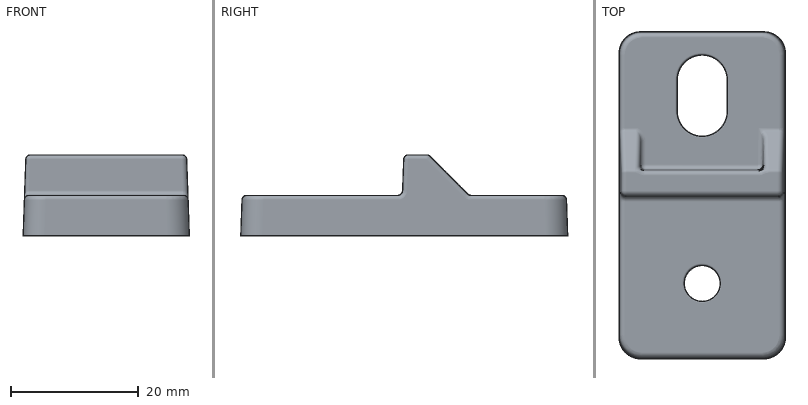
import cadquery as cq
import math

WIDTH = 26.07
LENGTH = 51.24
HEIGHT = 12.7
PLATE_THICKNESS = HEIGHT / 2
DRAFT_ANGLE = 2.0
CORNER_RADIUS = 3.4
EDGE_RADIUS = 0.76

RIB_FRONT_Y = -0.08
RIB_BACK_Y = 3.82
GUSSET_INNER_X = 9.57
RIGHT_GUSSET_SKEW = 1.0

HOLE_DIAMETER = 5.59
HOLE_Y = -13.8
COUNTERSINK_DIAMETER = 12.7
COUNTERSINK_DEPTH = 3.3
SLOT_WIDTH = 7.82
SLOT_CENTRE_DISTANCE = 4.87
SLOT_Y = 15.6
HOLE_EDGE_RADIUS = 0.3

RIB_HEIGHT = HEIGHT - PLATE_THICKNESS
RIB_LEAN = RIB_HEIGHT * math.tan(math.radians(DRAFT_ANGLE))
GUSSET_RUN = RIB_HEIGHT
GUSSET_TOE_Y = RIB_BACK_Y + GUSSET_RUN
SKEW_OFFSET = GUSSET_RUN * math.tan(math.radians(RIGHT_GUSSET_SKEW))

TOLERANCE = 0.01
SMOOTH_ANGLE = 2.0


def drafted_block():
    """Full-height block with rounded corners whose four walls lean inwards."""
    block = cq.Workplane("XY").rect(WIDTH, LENGTH).extrude(HEIGHT, taper=DRAFT_ANGLE)
    return block.edges("not(#Z or |X or |Y)").fillet(CORNER_RADIUS)


def side_profile():
    """Plate and rib outline in the YZ plane, with a 45 degree back slope."""
    half_length = LENGTH / 2
    return (
        cq.Workplane("YZ")
        .moveTo(-half_length, 0)
        .lineTo(half_length, 0)
        .lineTo(half_length, PLATE_THICKNESS)
        .lineTo(GUSSET_TOE_Y, PLATE_THICKNESS)
        .lineTo(RIB_BACK_Y, HEIGHT)
        .lineTo(RIB_FRONT_Y, HEIGHT)
        .lineTo(RIB_FRONT_Y - RIB_LEAN, PLATE_THICKNESS)
        .lineTo(-half_length, PLATE_THICKNESS)
        .close()
        .extrude(WIDTH, both=True)
    )


def gap_section(right_x):
    """Cross-section of the gap between the gussets; right_x is its right foot."""
    return [
        (-GUSSET_INNER_X, PLATE_THICKNESS),
        (right_x, PLATE_THICKNESS),
        (right_x + RIB_LEAN, HEIGHT),
        (-GUSSET_INNER_X - RIB_LEAN, HEIGHT),
    ]


def gusset_gap():
    """Space between the gussets: drafted walls, the right one also closing in towards the rib."""
    between_walls = (
        cq.Workplane("XZ", origin=(0, GUSSET_TOE_Y, 0))
        .polyline(gap_section(GUSSET_INNER_X))
        .close()
        .workplane(offset=GUSSET_RUN)
        .polyline(gap_section(GUSSET_INNER_X - SKEW_OFFSET))
        .close()
        .loft(ruled=True)
    )
    behind_rib = (
        cq.Workplane("YZ")
        .moveTo(RIB_BACK_Y + RIB_LEAN, PLATE_THICKNESS)
        .lineTo(GUSSET_TOE_Y, PLATE_THICKNESS)
        .lineTo(GUSSET_TOE_Y, HEIGHT)
        .lineTo(RIB_BACK_Y, HEIGHT)
        .close()
        .extrude(WIDTH, both=True)
    )
    return between_walls.intersect(behind_rib)


def right_gusset_foot(body):
    """Toe and inner foot edges of the right gusset, where it meets the plate."""
    edges = []
    for edge in body.edges().vals():
        box = edge.BoundingBox()
        on_plate = abs(box.zmin - PLATE_THICKNESS) < TOLERANCE and box.zlen < TOLERANCE
        reaches_toe = abs(box.ymax - GUSSET_TOE_Y) < TOLERANCE
        beside_gap = box.xmin > GUSSET_INNER_X - SKEW_OFFSET - TOLERANCE
        on_outside = box.xmin > GUSSET_INNER_X + TOLERANCE
        if on_plate and reaches_toe and beside_gap and not on_outside:
            edges.append(edge)
    return body.newObject(edges)


def is_sharp(body, edge):
    """True where the two faces beside an edge do not blend smoothly."""
    normals = []
    middle = edge.positionAt(0.5)
    for face in body.faces().vals():
        if any(other.isSame(edge) for other in face.Edges()):
            normals.append(face.normalAt(middle))
    return normals[0].getAngle(normals[1]) > math.radians(SMOOTH_ANGLE)


def round_upper_edges(body):
    """Mitre the right gusset's foot fillets, then round every sharp edge left above the base."""
    body = right_gusset_foot(body).fillet(EDGE_RADIUS)
    edges = []
    for edge in body.edges().vals():
        above_base = edge.BoundingBox().zmin > PLATE_THICKNESS - TOLERANCE
        if above_base and is_sharp(body, edge):
            edges.append(edge)
    return body.newObject(edges).fillet(EDGE_RADIUS)


def countersink():
    """Cone opening towards the underside, down from the hole's wall."""
    cone = cq.Solid.makeCone(COUNTERSINK_DIAMETER / 2, HOLE_DIAMETER / 2, COUNTERSINK_DEPTH)
    return cq.Workplane(cone).translate((0, HOLE_Y, 0))


def cut_openings(body):
    """Slot and countersunk hole through the plate, both with a rounded upper rim."""
    hole = cq.Workplane("XY").center(0, HOLE_Y).circle(HOLE_DIAMETER / 2)
    slot_length = SLOT_CENTRE_DISTANCE + SLOT_WIDTH
    slot = cq.Workplane("XY").center(0, SLOT_Y).slot2D(slot_length, SLOT_WIDTH, 90)
    for outline, centre_y, length in ((hole, HOLE_Y, HOLE_DIAMETER), (slot, SLOT_Y, slot_length)):
        body = body.cut(outline.extrude(PLATE_THICKNESS))
        reach = length / 2 + TOLERANCE
        rim = cq.selectors.BoxSelector(
            (-reach, centre_y - reach, PLATE_THICKNESS - TOLERANCE),
            (reach, centre_y + reach, PLATE_THICKNESS + TOLERANCE),
        )
        body = body.edges(rim).fillet(HOLE_EDGE_RADIUS)
    return body.cut(countersink())


body = drafted_block().intersect(side_profile()).cut(gusset_gap())
body = round_upper_edges(body)
result = cut_openings(body)